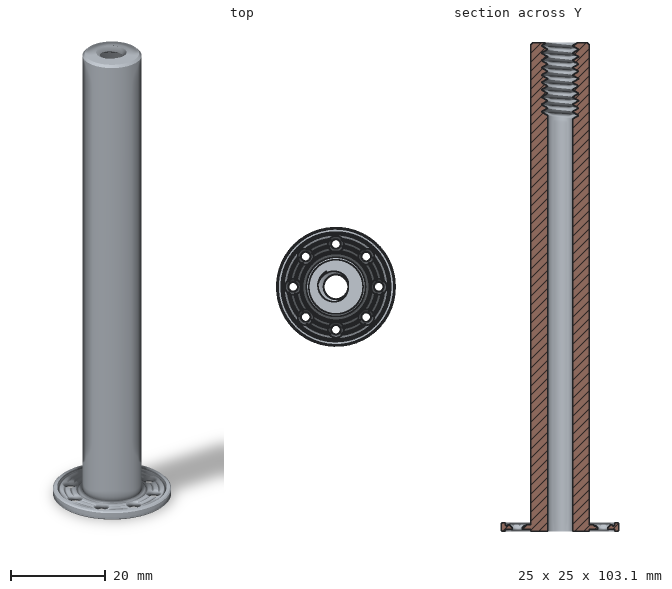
import cadquery as cq
import math

total_height = 103.1
pole_diameter = 12.5
pole_chamfer = 0.5
flange_diameter = 25.0
flange_thickness = 1.9
flange_chamfer = 0.26
rim_inner_diameter = 23.1
rim_height = 0.4
web_bottom = rim_height
web_top = flange_thickness - rim_height

screw_hole_count = 8
screw_hole_diameter = 2.0
screw_hole_circle_diameter = 18.0
countersink_diameter = 3.4
countersink_depth = (countersink_diameter - screw_hole_diameter) / 2

groove_count = 4
first_groove_radius = 7.3
groove_width = 0.57
groove_depth = groove_width / 2
last_groove_radius = (rim_inner_diameter - groove_width) / 2
groove_spacing = (last_groove_radius - first_groove_radius) / (groove_count - 1)

bore_diameter = 5.2
bore_radius = bore_diameter / 2
thread_pitch = 1.5
thread_crest_width = 0.05
thread_groove_width = thread_pitch - thread_crest_width
thread_flank_angle = math.radians(60)
thread_turns = 10
thread_exit_angle = 170
thread_bore_overlap = 0.02


def make_body():
    flange = (
        cq.Workplane("XY")
        .circle(flange_diameter / 2)
        .extrude(flange_thickness)
        .edges()
        .chamfer(flange_chamfer)
    )
    pole = (
        cq.Workplane("XY")
        .circle(pole_diameter / 2)
        .extrude(total_height)
        .faces(">Z")
        .edges()
        .chamfer(pole_chamfer)
    )
    return flange.union(pole)


def make_web_recess(start_z):
    recess = cq.Workplane("XY").workplane(offset=start_z).circle(rim_inner_diameter / 2)
    return recess.circle(pole_diameter / 2).extrude(rim_height)


def make_groove(radius):
    half_width = groove_width / 2
    outline = [
        (radius - half_width, web_top),
        (radius + half_width, web_top),
        (radius, web_top - groove_depth),
    ]
    return cq.Workplane("XZ").polyline(outline).close().revolve(360, (0, 0), (0, 1))


def make_screw_hole():
    radius = screw_hole_diameter / 2
    rim_radius = countersink_diameter / 2
    outline = [
        (0, web_bottom),
        (radius, web_bottom),
        (radius, web_top - countersink_depth),
        (rim_radius, web_top),
        (0, web_top),
    ]
    hole = cq.Workplane("XZ").polyline(outline).close().revolve(360, (0, 0), (0, 1))
    return hole.translate((screw_hole_circle_diameter / 2, 0, 0))


def make_thread_groove():
    start_z = total_height - thread_turns * thread_pitch
    length = (thread_turns + 1) * thread_pitch
    base_radius = bore_radius - thread_bore_overlap
    tip_radius = base_radius + thread_groove_width / 2 * math.tan(thread_flank_angle)
    outline = [
        (base_radius, -thread_groove_width / 2),
        (tip_radius, 0),
        (base_radius, thread_groove_width / 2),
    ]
    helix = cq.Workplane(cq.Wire.makeHelix(thread_pitch, length, bore_radius))
    groove = cq.Workplane("XZ").polyline(outline).close().sweep(helix, isFrenet=True)
    return groove.rotate((0, 0, 0), (0, 0, 1), thread_exit_angle).translate((0, 0, start_z))


result = make_body()
result = result.cut(make_web_recess(0)).cut(make_web_recess(web_top))

for index in range(groove_count):
    result = result.cut(make_groove(first_groove_radius + index * groove_spacing))

for index in range(screw_hole_count):
    angle = index * 360 / screw_hole_count
    result = result.cut(make_screw_hole().rotate((0, 0, 0), (0, 0, 1), angle))

bore = cq.Workplane("XY").circle(bore_radius).extrude(total_height)
result = result.cut(bore).cut(make_thread_groove())